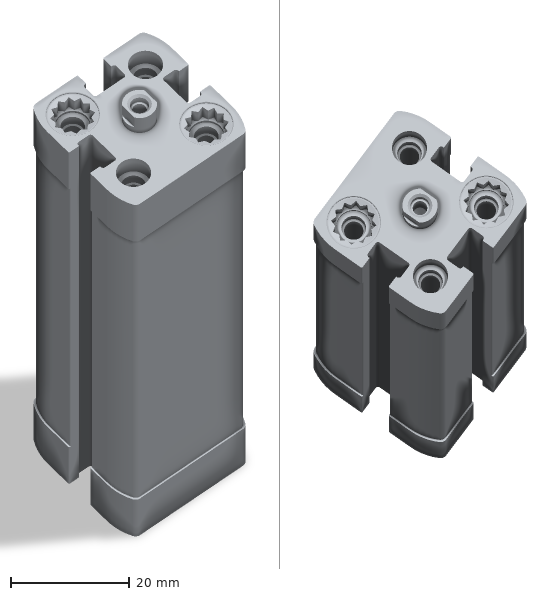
import cadquery as cq
import math

total_height = 99.2
cap_width = 27.5
tube_inset = 0.3
cap_height = 10.5
rod_exposed = 4.3
housing_height = total_height - rod_exposed

shoulder_radius = 10.9
shoulder_width = 5.9
edge_radius = 1.2

slot_offset = 0.6
slot_mouth = 5.6
slot_width = 6.9
slot_floor = 8.3
lip_inner = 11.5
slot_corner_radius = 0.5
lip_radius = 0.2

hole_offset = 8.0
through_diameter = 3.3
entry_diameter = 4.2
entry_depth = 2.0
recess_diameter = 6.0
recess_depth = 3.7

socket_rim_diameter = 9.2
socket_diameter = 9.0
socket_rim_chamfer = 0.1
socket_lead_in_diameter = 8.5
socket_step = 0.3
tooth_lead_in = 0.3
tooth_count = 12
tooth_root_radius = 3.9
tooth_tip_radius = 3.2
socket_depth = 3.2

rod_diameter = 6.0
rod_flats = 5.0
rod_flat_length = 2.8
rod_insert = cap_height
rod_countersink_diameter = 4.2
rod_thread_diameter = 3.3
rod_thread_depth = 1.7
rod_bore_diameter = 2.5
rod_bore_depth = 6.0
drill_point_angle = 120.0


def section(width, bottom, height):
    """Square prism whose four corners are wide shoulder arcs with rounded edges."""
    half = width / 2
    flat = half - shoulder_width
    drop = shoulder_radius - math.sqrt(shoulder_radius**2 - shoulder_width**2)
    side = half - drop
    return (
        cq.Workplane("XY", origin=(0, 0, bottom))
        .moveTo(-flat, half)
        .lineTo(flat, half)
        .radiusArc((half, side), shoulder_radius)
        .lineTo(half, -side)
        .radiusArc((flat, -half), shoulder_radius)
        .lineTo(-flat, -half)
        .radiusArc((-half, -side), shoulder_radius)
        .lineTo(-half, side)
        .radiusArc((-flat, half), shoulder_radius)
        .close()
        .extrude(height)
        .edges("|Z and (>X or <X)")
        .fillet(edge_radius)
    )


def cylinder(diameter, top, depth, x=0.0, y=0.0):
    """Vertical cylinder that reaches down from the height `top`."""
    return cq.Workplane("XY", origin=(x, y, top - depth)).circle(diameter / 2).extrude(depth)


def slot_cutter(face, bottom, height):
    """T-slot with rounded lips, shifted towards -X, opening to +Y at the distance `face` from the axis."""
    plane = cq.Workplane("XY", origin=(-slot_offset, 0, bottom))
    channel = (
        plane.center(0, (slot_floor + lip_inner) / 2)
        .rect(slot_width, lip_inner - slot_floor)
        .extrude(height)
        .edges("|Z")
        .fillet(slot_corner_radius)
    )
    half_mouth = slot_mouth / 2
    half_flare = half_mouth + lip_radius
    mouth = (
        plane.moveTo(-half_mouth, slot_floor)
        .lineTo(-half_mouth, face - lip_radius)
        .radiusArc((-half_flare, face), -lip_radius)
        .lineTo(half_flare, face)
        .radiusArc((half_mouth, face - lip_radius), -lip_radius)
        .lineTo(half_mouth, slot_floor)
        .close()
        .extrude(height)
    )
    return channel.union(mouth)


def turned(shape, angle):
    """Shape turned about the Z axis."""
    return shape.rotate((0, 0, 0), (0, 0, 1), angle)


def plain_corner_hole(x, y):
    """Through hole with a wider entry and a round recess at the top."""
    top = housing_height
    hole = cylinder(through_diameter, top, housing_height, x, y)
    hole = hole.union(cylinder(entry_diameter, top, recess_depth + entry_depth, x, y))
    return hole.union(cylinder(recess_diameter, top, recess_depth, x, y))


def toothed_corner_hole(x, y):
    """Corner hole whose recess is widened into a socket with inward-pointing teeth."""
    step = math.pi / tooth_count
    outline = []
    for index in range(2 * tooth_count):
        radius = tooth_root_radius if index % 2 == 0 else tooth_tip_radius
        outline.append((radius * math.cos(index * step), radius * math.sin(index * step)))
    top = housing_height
    socket_plane = cq.Workplane("XY", origin=(x, y, top - socket_depth))
    teeth = socket_plane.polyline(outline).close().extrude(socket_depth)
    step_bottom = top - socket_step
    lead_in = (
        cq.Workplane("XZ")
        .moveTo(0, top)
        .lineTo(socket_rim_diameter / 2, top)
        .lineTo(socket_diameter / 2, top - socket_rim_chamfer)
        .lineTo(socket_diameter / 2, step_bottom)
        .lineTo(socket_lead_in_diameter / 2, step_bottom)
        .lineTo(tooth_tip_radius, step_bottom - tooth_lead_in)
        .lineTo(0, step_bottom - tooth_lead_in)
        .close()
        .revolve(360, (0, 0, 0), (0, 1, 0))
        .translate((x, y, 0))
    )
    return plain_corner_hole(x, y).union(teeth).union(lead_in)


def slotted_section(width, bottom, height):
    """Length of housing with T-slots in its +Y, -Y and -X faces."""
    slot = slot_cutter(width / 2, bottom, height)
    body = section(width, bottom, height).cut(slot)
    body = body.cut(turned(slot, 180))
    return body.cut(turned(slot, 90).mirror("XZ"))


def make_housing():
    """Tube between two slightly wider end caps, with corner holes and a bore for the rod."""
    tube_height = housing_height - 2 * cap_height
    body = slotted_section(cap_width - 2 * tube_inset, cap_height, tube_height)
    for bottom in (0, cap_height + tube_height):
        body = body.union(slotted_section(cap_width, bottom, cap_height))
    for sign in (-1, 1):
        body = body.cut(plain_corner_hole(sign * hole_offset, -sign * hole_offset))
        body = body.cut(toothed_corner_hole(sign * hole_offset, sign * hole_offset))
    return body.cut(cylinder(rod_diameter, housing_height, rod_insert))


def make_rod():
    """Rod with two wrench flats and a stepped hole in its end."""
    rod = cylinder(rod_diameter, total_height, rod_exposed + rod_insert)
    flats_plane = cq.Workplane("XY", origin=(0, 0, total_height - rod_flat_length))
    kept = flats_plane.rect(rod_diameter, rod_flats).extrude(rod_flat_length)
    end = cylinder(rod_diameter, total_height, rod_flat_length)
    rod = rod.cut(end.cut(kept))
    return rod.cut(rod_end_hole())


def rod_end_hole():
    """Countersunk hole that steps down to a bore with a drill point."""
    countersink_radius = rod_countersink_diameter / 2
    thread_radius = rod_thread_diameter / 2
    bore_radius = rod_bore_diameter / 2
    countersink_depth = countersink_radius - thread_radius
    thread_bottom = total_height - rod_thread_depth
    bore_bottom = total_height - rod_bore_depth
    point = bore_radius / math.tan(math.radians(drill_point_angle / 2))
    return (
        cq.Workplane("XZ")
        .moveTo(0, total_height)
        .lineTo(countersink_radius, total_height)
        .lineTo(thread_radius, total_height - countersink_depth)
        .lineTo(thread_radius, thread_bottom)
        .lineTo(bore_radius, thread_bottom)
        .lineTo(bore_radius, bore_bottom)
        .lineTo(0, bore_bottom - point)
        .close()
        .revolve(360, (0, 0, 0), (0, 1, 0))
    )


housing = make_housing()
rod = make_rod()

result = cq.Compound.makeCompound([housing.val(), rod.val()])